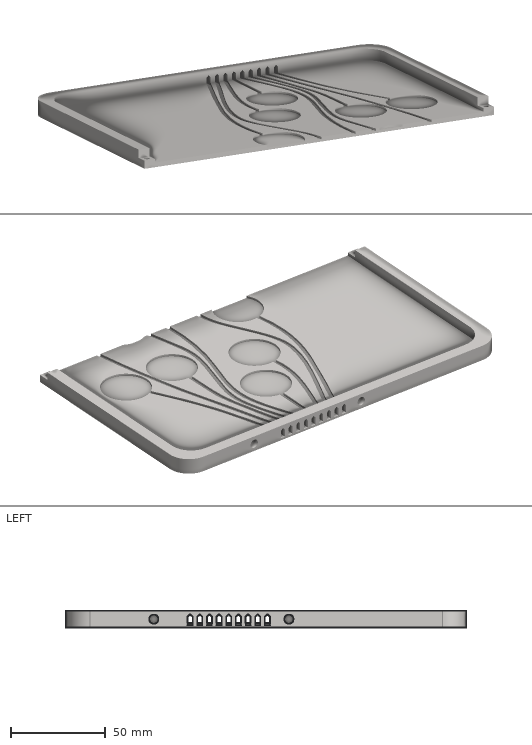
import cadquery as cq

LENGTH = 124.46
WIDTH = 210.82
HEIGHT = 8.89
WALL = 6.35
CORNER_RADIUS = 12.7
FLOOR_THICKNESS = 2.54

RECESS_DEPTH = 1.27
RECESS_BOTTOM = FLOOR_THICKNESS - RECESS_DEPTH
POCKET_DIAMETER = 27.4
GROOVE_WIDTH = 2.54

SLOT_PITCH = 2 * GROOVE_WIDTH
FIRST_SLOT_Y = 39.92
STRAIGHT_GROOVE_Y = FIRST_SLOT_Y - 5 * SLOT_PITCH
SLOT_TOP = 6.98

END_HOLE_DIAMETER = 4.83
END_HOLE_DEPTH = 5.08
END_HOLE_Y = (59.05, -12.07)

TAB_LENGTH = WALL
TAB_HEIGHT = HEIGHT / 2
TAB_HOLE_DIAMETER = 3.05
TAB_HOLE_INSET = WALL / 2
TAB_HOLE_BOTTOM = RECESS_BOTTOM

POCKET_CENTRES = [
    (89.4, 75.3),
    (90.5, 44.0),
    (47.6, STRAIGHT_GROOVE_Y),
    (76.2, 0.1),
    (116.9, -20.2),
    (136.3, 43.2),
]

GROOVE_PATHS = [
    [(24.3, 45.2), (41.0, 50.8), (55.6, 57.0), (82.0, 70.7)],
    [(22.2, 39.5), (41.0, 45.1), (59.8, 51.1), (99.4, 61.5), (LENGTH, 66.5)],
    [(22.2, 34.4), (32.7, 37.2), (41.0, 39.4), (53.5, 41.7), (64.0, 42.1), (82.0, 42.7)],
    [(22.2, 30.5), (32.7, 34.0), (46.0, 36.4), (59.8, 34.6), (80.7, 28.9), (95.0, 26.8),
     (109.9, 29.1), (LENGTH, 32.8)],
    [(22.2, 25.7), (32.7, 29.4), (48.0, 32.0), (61.9, 30.3), (86.9, 23.3), (109.9, 20.2), (LENGTH, 20.5)],
    [(40.0, STRAIGHT_GROOVE_Y)],
    [(22.2, 3.8), (32.7, 0.3), (45.2, -2.8), (53.5, -3.6), (66.0, -2.3)],
    [(22.2, -2.5), (45.2, -12.6), (64.0, -18.2), (74.4, -18.9), (84.8, -16.3), (105.7, -5.9),
     (116.1, -1.6), (LENGTH, 0.0)],
    [(22.2, -7.3), (43.1, -15.6), (64.0, -22.6), (74.4, -24.7), (84.8, -25.5), (106.0, -23.0)],
]


def rounded_plate(length, width, height):
    """Plate with rounded corners on its closed end and square corners on its open end at X = LENGTH."""
    plate = cq.Workplane("XY").box(length, width, height, centered=(False, True, False))
    return plate.edges("|Z and <X").fillet(CORNER_RADIUS).translate((LENGTH - length, 0, 0))


def make_shell():
    """Tray with a floor, two side walls and one end wall, open at +X."""
    cavity = rounded_plate(LENGTH - WALL, WIDTH - 2 * WALL, HEIGHT)
    return rounded_plate(LENGTH, WIDTH, HEIGHT).cut(cavity.translate((0, 0, FLOOR_THICKNESS)))


def make_tab_cut():
    """Material removed above both tabs, and the blind pin holes in them."""
    step = cq.Workplane("XY", origin=(LENGTH - TAB_LENGTH, 0, TAB_HEIGHT)).box(
        TAB_LENGTH, WIDTH, HEIGHT, centered=(False, True, False)
    )
    hole_y = WIDTH / 2 - TAB_HOLE_INSET
    holes = (
        cq.Workplane("XY", origin=(0, 0, TAB_HOLE_BOTTOM))
        .pushPoints([(LENGTH - TAB_HOLE_INSET, hole_y), (LENGTH - TAB_HOLE_INSET, -hole_y)])
        .circle(TAB_HOLE_DIAMETER / 2)
        .extrude(HEIGHT)
    )
    return step.union(holes)


def make_pockets():
    return (
        cq.Workplane("XY", origin=(0, 0, RECESS_BOTTOM))
        .pushPoints(POCKET_CENTRES)
        .circle(POCKET_DIAMETER / 2)
        .extrude(RECESS_DEPTH)
    )


def make_slot(slot_y):
    """Slot through the end wall: flat bottom level with the groove, 45 degree pointed top."""
    half = GROOVE_WIDTH / 2
    eaves_z = SLOT_TOP - half
    return (
        cq.Workplane("YZ")
        .moveTo(slot_y - half, RECESS_BOTTOM)
        .lineTo(slot_y + half, RECESS_BOTTOM)
        .lineTo(slot_y + half, eaves_z)
        .lineTo(slot_y, SLOT_TOP)
        .lineTo(slot_y - half, eaves_z)
        .close()
        .extrude(WALL)
    )


def make_groove(slot_y, path):
    """Groove of constant width along Y, following a smooth centreline from the slot."""
    centreline = [(WALL, slot_y)] + path
    half = GROOVE_WIDTH / 2
    upper = [(x, y + half) for x, y in centreline]
    lower = [(x, y - half) for x, y in reversed(centreline)]
    return (
        cq.Workplane("XY", origin=(0, 0, RECESS_BOTTOM))
        .moveTo(*upper[0])
        .spline(upper[1:], includeCurrent=True)
        .lineTo(*lower[0])
        .spline(lower[1:], includeCurrent=True)
        .close()
        .extrude(RECESS_DEPTH)
    )


def make_end_holes():
    return (
        cq.Workplane("YZ")
        .pushPoints([(y, HEIGHT / 2) for y in END_HOLE_Y])
        .circle(END_HOLE_DIAMETER / 2)
        .extrude(END_HOLE_DEPTH)
    )


tray = make_shell().cut(make_tab_cut()).cut(make_pockets()).cut(make_end_holes())
for index, groove_path in enumerate(GROOVE_PATHS):
    groove_start_y = FIRST_SLOT_Y - index * SLOT_PITCH
    tray = tray.cut(make_slot(groove_start_y)).cut(make_groove(groove_start_y, groove_path))

result = tray